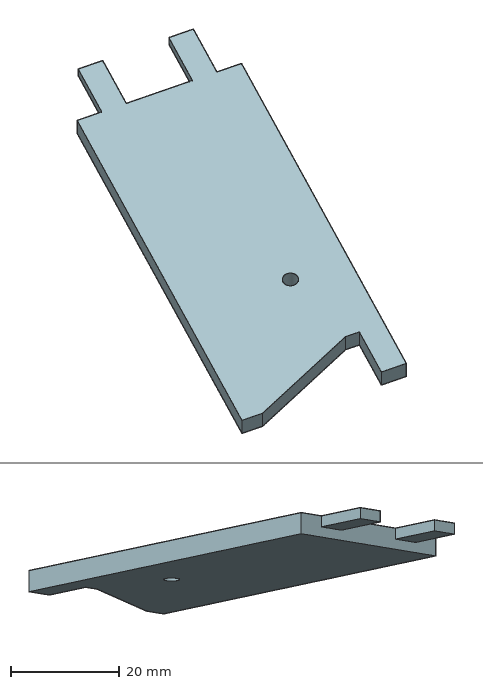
import cadquery as cq

total_length = 87.2
width = 33.2
thickness = 4.0

tab_length = 10.9
tab_width = 5.0
tab_thickness = 2.1
tab_offsets = (5.0, 23.3)

arm_width = 5.1
notch_depth = 10.2
notch_wall_length = 2.8
corner_land = 4.2

hole_diameter = 3.0
hole_x = 60.7
hole_y = 21.4


def make_plate():
    arm_bottom = width - arm_width
    notch_x = total_length - notch_depth
    outline = [
        (tab_length, 0),
        (total_length, 0),
        (total_length, corner_land),
        (notch_x, arm_bottom - notch_wall_length),
        (notch_x, arm_bottom),
        (total_length, arm_bottom),
        (total_length, width),
        (tab_length, width),
    ]
    return cq.Workplane("XY").polyline(outline).close().extrude(thickness)


def make_tab(offset):
    return (
        cq.Workplane("XY")
        .box(tab_length, tab_width, tab_thickness, centered=False)
        .translate((0, offset, thickness - tab_thickness))
    )


def make_hole():
    return cq.Workplane("XY").center(hole_x, hole_y).circle(hole_diameter / 2).extrude(thickness)


result = make_plate()
for tab_offset in tab_offsets:
    result = result.union(make_tab(tab_offset))
result = result.cut(make_hole())